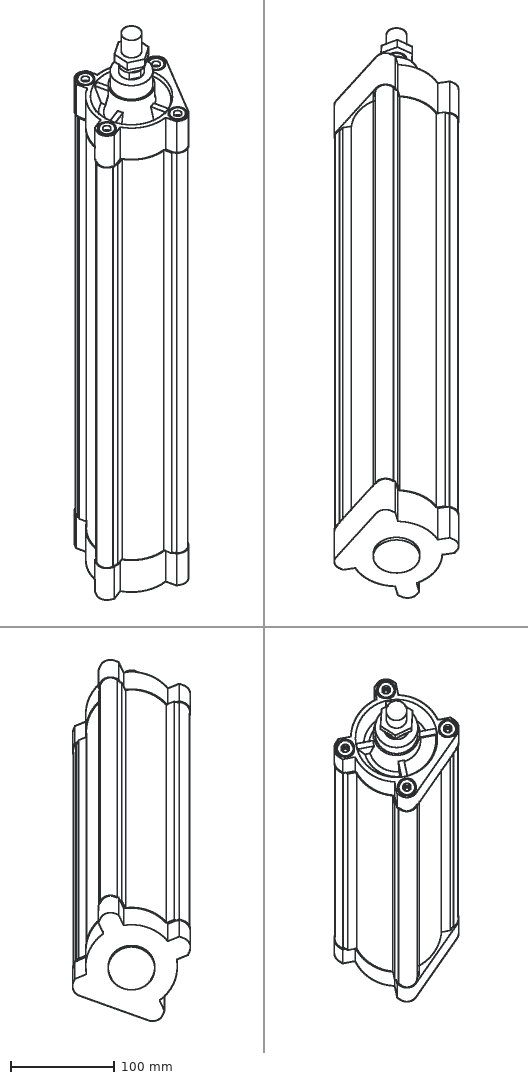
import cadquery as cq
import math

TOTAL_LENGTH = 717.5
BOTTOM_CAP_BASE = 3.5
TOP_CAP_FACE = 632.0
CAP_LENGTH = 43.0
COLLAR_STEP = 648.0
COLLAR_TOP = 667.0
ROD_SHOULDER = 679.5
NUT_BASE = 684.0
NUT_HEIGHT = 10.0

HALF_WIDTH = 47.0
POST_RADIUS = 11.0
POST_CENTER = HALF_WIDTH - POST_RADIUS
CAP_RADIUS = 44.5
CAP_SHOULDER = 31.5
TUBE_RADIUS = 44.0
TUBE_POST_RADIUS = 10.0
TUBE_SHOULDER_START = 27.0
TUBE_SHOULDER_END = 32.0
TUBE_SHOULDER_HEIGHT = 44.5
FLAT_PAD_START = 21.5

COLLAR_DIAMETER = 45.0
COLLAR_UPPER_DIAMETER = 41.5

RECESS_DIAMETER = 80.0
RECESS_DEPTH = 21.5
RECESS_OUTER_DRAFT = 8.0
RECESS_INNER_DRAFT = 4.0
RIB_WIDTH = 6.0
RIB_DROP = 1.5
RAISED_FLOOR_DEPTH = 4.0

SCREW_RECESS_DIAMETER = 18.0
SCREW_HEAD_DIAMETER = 16.0
SCREW_RECESS_DEPTH = 3.0
SOCKET_DIAMETER = 8.0
SOCKET_DEPTH = 6.0
PILOT_DIAMETER = 4.45
PILOT_DEPTH = 8.5

ROD_END = TOP_CAP_FACE - CAP_LENGTH
ROD_DIAMETER = 25.0
ROD_CHAMFER = 3.5
THREAD_DIAMETER = 20.0
NECK_DIAMETER = 18.0
WRENCH_WIDTH = 22.0
WRENCH_FLAT_BASE = COLLAR_TOP
WRENCH_FLAT_TOP = 676.0

NUT_ACROSS_FLATS = 30.0

QUARTER_TURNS = [0, 90, 180, 270]


def cylinder(diameter, base, top):
    """Upright cylinder on the main axis."""
    return cq.Workplane("XY").workplane(offset=base).circle(diameter / 2).extrude(top - base)


def with_corner_posts(core, post):
    """Add the corner post to the core at all four corners."""
    for angle in QUARTER_TURNS:
        core = core.union(post.rotate((0, 0, 0), (0, 0, 1), angle))
    return core


def end_cap(base):
    """Round cap with four corner posts and a flat pad on the +Y side."""
    top = base + CAP_LENGTH
    flank = HALF_WIDTH - CAP_SHOULDER
    arc_middle = POST_CENTER + POST_RADIUS / math.sqrt(2)
    post = (
        cq.Workplane("XY")
        .workplane(offset=base)
        .moveTo(0, 0)
        .lineTo(0, flank)
        .lineTo(CAP_SHOULDER, HALF_WIDTH)
        .lineTo(POST_CENTER, HALF_WIDTH)
        .threePointArc((arc_middle, arc_middle), (HALF_WIDTH, POST_CENTER))
        .lineTo(HALF_WIDTH, CAP_SHOULDER)
        .lineTo(flank, 0)
        .close()
        .extrude(CAP_LENGTH)
    )
    cap = with_corner_posts(cylinder(2 * CAP_RADIUS, base, top), post)
    pad = cq.Workplane("XY").box(
        2 * POST_CENTER, HALF_WIDTH - FLAT_PAD_START, CAP_LENGTH, centered=(True, False, False)
    )
    return cap.union(pad.translate((0, FLAT_PAD_START, base)))


def tube():
    """Profile tube between the caps, with stepped shoulders beside its corner posts."""
    base = BOTTOM_CAP_BASE + CAP_LENGTH
    top = TOP_CAP_FACE - CAP_LENGTH
    flank = TUBE_SHOULDER_HEIGHT - TUBE_SHOULDER_START
    arc_middle = POST_CENTER + TUBE_POST_RADIUS / math.sqrt(2)
    arc_end = POST_CENTER + math.sqrt(TUBE_POST_RADIUS**2 - (POST_CENTER - TUBE_SHOULDER_END) ** 2)
    post = (
        cq.Workplane("XY")
        .workplane(offset=base)
        .moveTo(0, 0)
        .lineTo(0, flank)
        .lineTo(TUBE_SHOULDER_START, TUBE_SHOULDER_HEIGHT)
        .lineTo(TUBE_SHOULDER_END, TUBE_SHOULDER_HEIGHT)
        .lineTo(TUBE_SHOULDER_END, arc_end)
        .threePointArc((arc_middle, arc_middle), (arc_end, TUBE_SHOULDER_END))
        .lineTo(TUBE_SHOULDER_HEIGHT, TUBE_SHOULDER_END)
        .lineTo(TUBE_SHOULDER_HEIGHT, TUBE_SHOULDER_START)
        .lineTo(flank, 0)
        .close()
        .extrude(top - base)
    )
    return with_corner_posts(cylinder(2 * TUBE_RADIUS, base, top), post)


def collar_recess():
    """Drafted ring pocket, interrupted by diagonal ribs and by a raised floor on the +Y side."""
    outer = RECESS_DIAMETER / 2
    inner = COLLAR_DIAMETER / 2
    floor = TOP_CAP_FACE - RECESS_DEPTH
    ring = (
        cq.Workplane("XZ")
        .polyline(
            [
                (inner, TOP_CAP_FACE),
                (outer, TOP_CAP_FACE),
                (outer - RECESS_OUTER_DRAFT, floor),
                (inner + RECESS_INNER_DRAFT, floor),
            ]
        )
        .close()
        .revolve(360, (0, 0, 0), (0, 1, 0))
    )
    for angle in (45, 135):
        rib = (
            cq.Workplane("XY")
            .box(RECESS_DIAMETER, RIB_WIDTH, RECESS_DEPTH, centered=(True, True, False))
            .translate((0, 0, floor - RIB_DROP))
            .rotate((0, 0, 0), (0, 0, 1), angle)
        )
        ring = ring.cut(rib)
    raised_floor = (
        cq.Workplane("XY")
        .workplane(offset=floor)
        .polyline([(0, 0), (outer, outer), (-outer, outer)])
        .close()
        .extrude(RECESS_DEPTH - RAISED_FLOOR_DEPTH)
    )
    return ring.cut(raised_floor)


def cap_screw_cuts():
    """Ring gap round each screw head, with its socket and pilot hole."""
    centers = [(x, y) for x in (-POST_CENTER, POST_CENTER) for y in (-POST_CENTER, POST_CENTER)]
    face = cq.Workplane("XY").workplane(offset=TOP_CAP_FACE).pushPoints(centers)
    gap = face.circle(SCREW_RECESS_DIAMETER / 2).circle(SCREW_HEAD_DIAMETER / 2).extrude(-SCREW_RECESS_DEPTH)
    socket = face.circle(SOCKET_DIAMETER / 2).extrude(-SOCKET_DEPTH)
    pilot = face.circle(PILOT_DIAMETER / 2).extrude(-PILOT_DEPTH)
    return gap.union(socket).union(pilot)


def make_housing():
    """Caps, tube, bearing collar and rear spigot, bored for the rod."""
    housing = tube().union(end_cap(BOTTOM_CAP_BASE)).union(end_cap(TOP_CAP_FACE - CAP_LENGTH))
    housing = housing.cut(collar_recess()).cut(cap_screw_cuts())
    housing = housing.union(cylinder(COLLAR_DIAMETER, TOP_CAP_FACE, COLLAR_STEP))
    housing = housing.union(cylinder(COLLAR_UPPER_DIAMETER, COLLAR_STEP, COLLAR_TOP))
    housing = housing.union(cylinder(COLLAR_DIAMETER, 0, BOTTOM_CAP_BASE))
    return housing.cut(cylinder(ROD_DIAMETER, ROD_END, COLLAR_TOP))


def make_rod():
    """Rod with wrench flats on the X sides, an undercut neck and a threaded end."""
    rod = cylinder(ROD_DIAMETER, ROD_END, ROD_SHOULDER).faces(">Z").chamfer(ROD_CHAMFER)
    flat_height = WRENCH_FLAT_TOP - WRENCH_FLAT_BASE
    flat_middle = (WRENCH_FLAT_TOP + WRENCH_FLAT_BASE) / 2
    for side in (-1, 1):
        cutter = cq.Workplane("XY").box(ROD_DIAMETER, ROD_DIAMETER, flat_height)
        rod = rod.cut(cutter.translate((side * (WRENCH_WIDTH + ROD_DIAMETER) / 2, 0, flat_middle)))
    rod = rod.union(cylinder(NECK_DIAMETER, ROD_SHOULDER, NUT_BASE))
    return rod.union(cylinder(THREAD_DIAMETER, NUT_BASE, TOTAL_LENGTH))


def make_nut():
    """Hexagon nut with two flats facing along X."""
    across_corners = NUT_ACROSS_FLATS / math.cos(math.radians(30))
    nut = (
        cq.Workplane("XY")
        .workplane(offset=NUT_BASE)
        .polygon(6, across_corners)
        .extrude(NUT_HEIGHT)
        .rotate((0, 0, 0), (0, 0, 1), 90)
    )
    return nut.cut(cylinder(THREAD_DIAMETER, NUT_BASE, NUT_BASE + NUT_HEIGHT))


housing = make_housing()
rod = make_rod()
nut = make_nut()

result = cq.Compound.makeCompound([housing.val(), rod.val(), nut.val()])